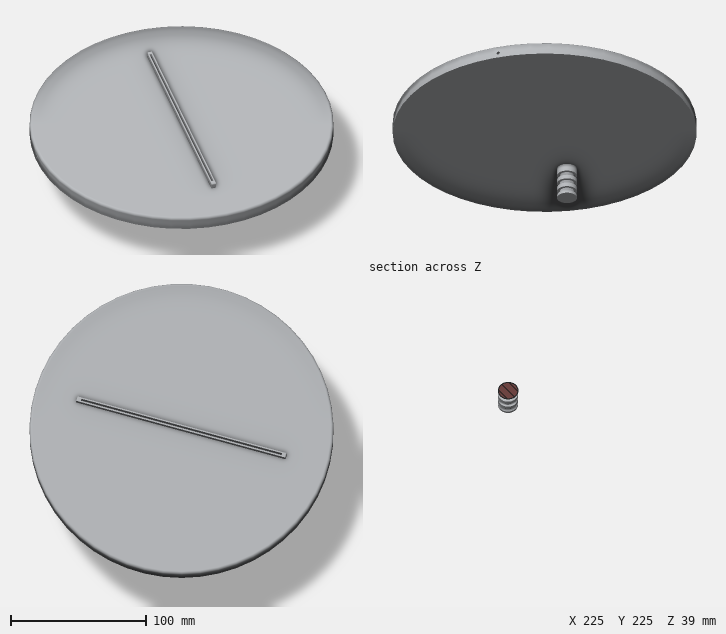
import cadquery as cq

PLATE_DIAMETER = 225.0
PLATE_RADIUS = PLATE_DIAMETER / 2
PLATE_THICKNESS = 10.0
PLATE_TOP_FILLET = 2.0

RAIL_LENGTH = 161.0
RAIL_WIDTH = 3.5
RAIL_HEIGHT = 4.0
RAIL_END_FILLET = 1.0
FOOT_WIDTH = 4.7
FOOT_DEPTH = 2.0
CHANNEL_WIDTH = 1.5

END_BLOCK_LENGTH = 3.4

SCREW_DIAMETER = 6.0
SCREW_LENGTH = 9.0
SCREW_AXIS_HEIGHT = 3.5
SOCKET_DIAMETER = 2.5
SOCKET_DEPTH = 2.2

STEM_OFFSET_Y = 54.2
STEM_DIAMETER = 14.8
STEM_LENGTH = 25.0
NECK_DIAMETER = 10.8
NECK_COUNT = 3
NECK_LENGTH = 3.5
NECK_PITCH = 6.8
TIP_FLANGE_LENGTH = 2.0


def rim_cylinder(diameter, length):
    """Cylinder along Y on the screw axis, running inward from the outermost point of the rim."""
    rim_plane = cq.Workplane("XZ", origin=(0, -PLATE_RADIUS, SCREW_AXIS_HEIGHT))
    return rim_plane.circle(diameter / 2).extrude(-length)


def make_screw():
    """Headless screw with a flat outer end and a round socket."""
    shank = rim_cylinder(SCREW_DIAMETER, SCREW_LENGTH)
    return shank.cut(rim_cylinder(SOCKET_DIAMETER, SOCKET_DEPTH))


def make_foot():
    """Foot of the rail, its upper face level with the plate top."""
    plate_top = cq.Workplane("XY", origin=(0, 0, PLATE_THICKNESS))
    return plate_top.rect(RAIL_LENGTH, FOOT_WIDTH).extrude(-FOOT_DEPTH)


def make_plate():
    """Disc with a rounded top edge, a slot for the rail foot and a bore for the screw."""
    disc = cq.Workplane("XY").circle(PLATE_RADIUS).extrude(PLATE_THICKNESS)
    disc = disc.faces(">Z").edges().fillet(PLATE_TOP_FILLET)
    screw_bore = rim_cylinder(SCREW_DIAMETER, SCREW_LENGTH)
    return disc.cut(make_foot()).cut(screw_bore)


def make_bar(width):
    """Bar of the rail's length, standing on the plate and rounded at both upper ends."""
    bar = cq.Workplane("XY", origin=(0, 0, PLATE_THICKNESS)).rect(RAIL_LENGTH, width).extrude(RAIL_HEIGHT)
    return bar.edges("|Y and >Z").fillet(RAIL_END_FILLET)


def make_rail():
    """Two upright walls joined by a wider foot that fills the slot in the plate."""
    walls = make_bar(RAIL_WIDTH).cut(make_bar(CHANNEL_WIDTH))
    return make_foot().union(walls)


def make_end_block(side):
    """Block filling one end of the rail channel; side is -1 or 1 along X."""
    block_center_x = side * (RAIL_LENGTH - END_BLOCK_LENGTH) / 2
    end_zone = (
        cq.Workplane("XY", origin=(block_center_x, 0, PLATE_THICKNESS))
        .rect(END_BLOCK_LENGTH, CHANNEL_WIDTH)
        .extrude(RAIL_HEIGHT)
    )
    return make_bar(CHANNEL_WIDTH).intersect(end_zone)


def make_stem():
    """Cylinder below the plate with evenly spaced necks cut around it."""
    stem = (
        cq.Workplane("XY", origin=(0, STEM_OFFSET_Y, -STEM_LENGTH))
        .circle(STEM_DIAMETER / 2)
        .extrude(STEM_LENGTH)
    )
    for index in range(NECK_COUNT):
        neck_bottom = -STEM_LENGTH + TIP_FLANGE_LENGTH + index * NECK_PITCH
        ring = (
            cq.Workplane("XY", origin=(0, STEM_OFFSET_Y, neck_bottom))
            .circle(STEM_DIAMETER / 2)
            .circle(NECK_DIAMETER / 2)
            .extrude(NECK_LENGTH)
        )
        stem = stem.cut(ring)
    return stem


plate = make_plate()
rail = make_rail()
end_blocks = [make_end_block(side) for side in (-1, 1)]
screw = make_screw()
stem = make_stem()

result = cq.Compound.makeCompound(
    [plate.val(), rail.val(), *[block.val() for block in end_blocks], screw.val(), stem.val()]
)